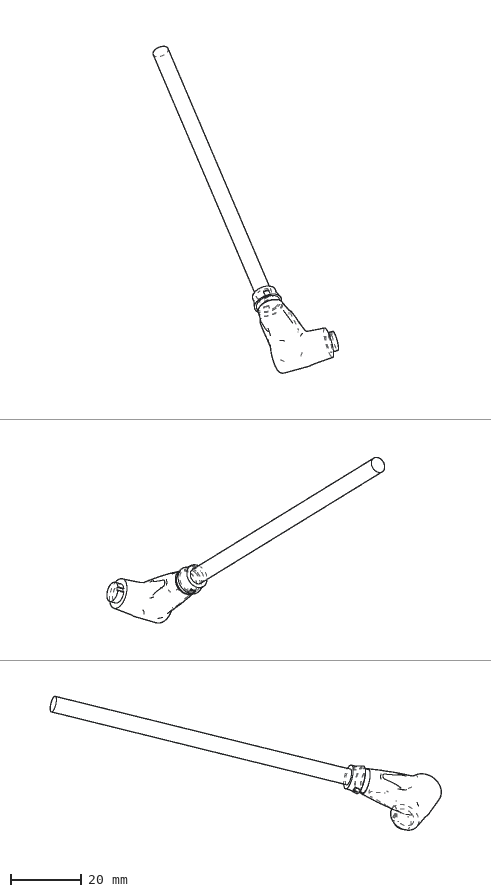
import cadquery as cq
import math

overall_length = 118.2

head_diameter = 10.0
head_radius = head_diameter / 2
head_x = overall_length - head_radius
head_base_y = -4.4
head_base_fillet = 1.5
head_straight_end_y = 4.6
neck_start_radius = 4.8
neck_start_y = 5.3
neck_end_radius = 4.4
neck_end_y = 11.8
stub_radius = 2.8
stub_end_y = 13.8
keyway_width = 1.1
keyway_depth = 0.5

cable_diameter = 4.6
collar_diameter = 7.0
collar_start_x = 90.9
ridge_start_x = 92.2
ridge_end_x = 94.4
ridge_diameter = 8.2
body_start_x = 96.0

button_start_x = 92.6
button_end_x = 94.5
button_width = 1.5
button_height = 3.9

body_mid_x = 104.6
body_start_y_min = -3.5
body_start_y_max = 3.9
body_mid_y_min = -4.1
body_mid_y_max = 6.0
head_facet_y_min = -0.7
body_sections = [
    (body_start_x, body_start_y_min, body_start_y_max, 7.3, -0.6, 0.6),
    (body_mid_x, body_mid_y_min, body_mid_y_max, 9.3, -0.7, 2.5),
    (head_x, -4.3, 7.7, 9.9, head_facet_y_min, 3.4),
]
facet_bevel_width = 0.5
facet_bevel_drop = 0.1
body_blend_radius = 1.2

pad_tip_x = 98.1
pad_fade_x = 107.2
pad_tip_rise = 0.5
pad_tip_radius = 2.4
pad_end_half_width = 3.0
pad_wall_taper = 55
pad_root_depth = 0.7
pad_block_height = 1.4


def make_head():
    """Round head with a rounded base, a conical neck and a plug stub."""
    profile = [
        (0, head_base_y),
        (head_radius, head_base_y),
        (head_radius, head_straight_end_y),
        (neck_start_radius, neck_start_y),
        (neck_end_radius, neck_end_y),
        (stub_radius, neck_end_y),
        (stub_radius, stub_end_y),
        (0, stub_end_y),
    ]
    head = cq.Workplane("XY").polyline(profile).close().revolve(360, (0, 0, 0), (0, 1, 0))
    head = head.faces("<Y").edges().fillet(head_base_fillet)
    return head.translate((head_x, 0, 0))


def make_keyway():
    """Axial groove in the cable-facing side of the plug stub."""
    return cq.Workplane("XY").box(
        2 * keyway_depth, stub_end_y - neck_end_y, keyway_width, centered=(True, False, True)
    ).translate((head_x - stub_radius, neck_end_y, 0))


def make_cable_and_collar():
    """Cable and collar, whose cone-shaped ridge drops off towards the body."""
    profile = [
        (0, 0),
        (0, cable_diameter / 2),
        (collar_start_x, cable_diameter / 2),
        (collar_start_x, collar_diameter / 2),
        (ridge_start_x, collar_diameter / 2),
        (ridge_end_x, ridge_diameter / 2),
        (ridge_end_x, collar_diameter / 2),
        (body_start_x, collar_diameter / 2),
        (body_start_x, 0),
    ]
    return cq.Workplane("XY").polyline(profile).close().revolve(360, (0, 0, 0), (1, 0, 0))


def make_buttons():
    """One block through the collar that stands out as a button at the top and bottom."""
    return cq.Workplane("XY").box(
        button_end_x - button_start_x, button_width, 2 * button_height, centered=(False, True, True)
    ).translate((button_start_x, 0, 0))


def make_body():
    """Loft of sections with a flat top and bottom and arched sides."""
    wires = []
    for x, y_min, y_max, height, facet_y_min, facet_y_max in body_sections:
        half_height = height / 2
        side_height = half_height - facet_bevel_drop
        side_y_min = facet_y_min - facet_bevel_width
        side_y_max = facet_y_max + facet_bevel_width
        section = (
            cq.Workplane("YZ", origin=(x, 0, 0))
            .moveTo(facet_y_min, half_height)
            .lineTo(facet_y_max, half_height)
            .lineTo(side_y_max, side_height)
            .threePointArc((y_max, 0), (side_y_max, -side_height))
            .lineTo(facet_y_max, -half_height)
            .lineTo(facet_y_min, -half_height)
            .lineTo(side_y_min, -side_height)
            .threePointArc((y_min, 0), (side_y_min, side_height))
            .close()
        )
        wires.append(section.val())
    return cq.Workplane(obj=cq.Solid.makeLoft(wires))


def junction_edges(y_low, y_high):
    """Selector for the edges where the body meets the head between two Y levels."""
    return cq.selectors.BoxSelector(
        (head_x - head_radius - body_blend_radius, y_low, -head_radius),
        (head_x, y_high, head_radius),
        boundingbox=True,
    )


def make_pad(body, y_start, y_end, outward):
    """V-shaped pad with a round tip that fades into one side of the body.

    The pad surface is the body surface swung outwards about the point where the pad fades out.
    """
    slope = (y_end - y_start) / (body_mid_x - body_start_x)
    tip_y = y_start + slope * (pad_tip_x - body_start_x)
    length = (head_x - pad_tip_x) * math.hypot(1, slope)
    normal = cq.Vector(-slope * outward, outward, 0).normalized()
    root = cq.Vector(pad_tip_x, tip_y, 0) - normal * pad_root_depth
    outline = (
        cq.Workplane(cq.Plane(origin=root, xDir=(1, slope, 0), normal=normal))
        .moveTo(length, pad_end_half_width)
        .lineTo(pad_tip_radius, pad_tip_radius)
        .threePointArc((0, 0), (pad_tip_radius, -pad_tip_radius))
        .lineTo(length, -pad_end_half_width)
        .close()
    )
    block = outline.extrude(pad_block_height, taper=pad_wall_taper)
    swing = math.degrees(math.atan(pad_tip_rise / (pad_fade_x - pad_tip_x)))
    swung_body = body.rotate((pad_fade_x, 0, 0), (pad_fade_x, 0, 1), -outward * swing)
    return swung_body.intersect(block)


def make_grip(body):
    """Head and body, with fillets where the two meet."""
    facet_side_y = head_facet_y_min - facet_bevel_width / 2
    grip = make_head().union(body)
    grip = grip.edges(junction_edges(head_base_y, facet_side_y)).fillet(body_blend_radius)
    neck_low = (head_straight_end_y + neck_start_y) / 2
    return grip.edges(junction_edges(neck_low, neck_end_y)).fillet(body_blend_radius)


body = make_body()
result = make_grip(body).union(make_cable_and_collar()).union(make_buttons())
result = result.union(make_pad(body, body_start_y_min, body_mid_y_min, -1))
result = result.union(make_pad(body, body_start_y_max, body_mid_y_max, 1))
result = result.cut(make_keyway())